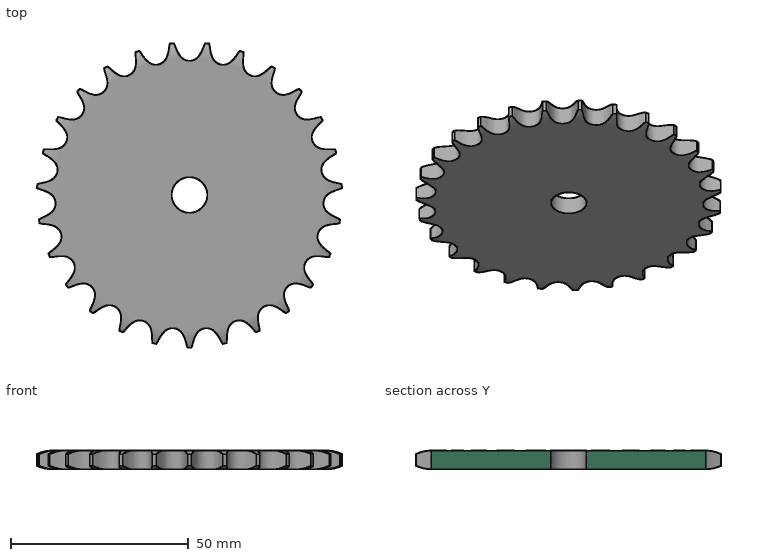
import cadquery as cq
import math

tooth_count = 27
pitch_diameter = 82.05
tip_diameter = 86.0
thickness = 5.3
bore_diameter = 10.0
bevel_start_radius = 38.6

pitch_radius = pitch_diameter / 2
tip_radius = tip_diameter / 2
half_tooth_angle = math.pi / tooth_count
chain_pitch = pitch_diameter * math.sin(half_tooth_angle)
roller_diameter = chain_pitch * 2 / 3
roller_clearance = 0.0765
bevel_radius_per_pitch = 1.063
bevel_radius = bevel_radius_per_pitch * chain_pitch

seat_half_angle = math.radians(55 - 60 / tooth_count)
working_angle = math.radians(18 - 56 / tooth_count)
topping_angle = math.radians(17 - 64 / tooth_count)
seat_oversize = 1.005
working_factor = 1.3025
working_offset = 0.8 * roller_diameter
topping_offset = 1.4 * roller_diameter
seat_radius = (seat_oversize * roller_diameter + roller_clearance) / 2
working_radius = working_factor * roller_diameter + roller_clearance / 2
straight_length = topping_offset * math.sin(topping_angle) - working_offset * math.sin(working_angle)
topping_radius = (
    topping_offset * math.cos(topping_angle)
    + working_offset * math.cos(working_angle)
    - working_radius
)


def on_circle(center, radius, angle):
    """Point on a circle, with the angle measured from -Y toward +X."""
    return (center[0] + radius * math.sin(angle), center[1] - radius * math.cos(angle))


def turned(point, angle):
    """Point turned counterclockwise about the origin."""
    x, y = point
    return (
        x * math.cos(angle) - y * math.sin(angle),
        x * math.sin(angle) + y * math.cos(angle),
    )


def gap_flank():
    """Points of the +X flank of a tooth gap centred on +Y, from the seat out to the tip.

    They are: seat end, working arc middle, working arc end, straight end,
    topping arc middle, tip corner.
    """
    roller_center = (0, pitch_radius)
    seat_end = on_circle(roller_center, seat_radius, seat_half_angle)

    flank_angle = seat_half_angle + working_angle
    working_center = on_circle(seat_end, working_radius, seat_half_angle + math.pi)
    working_middle = on_circle(working_center, working_radius, seat_half_angle + working_angle / 2)
    working_end = on_circle(working_center, working_radius, flank_angle)
    straight_end = on_circle(working_end, straight_length, flank_angle + math.pi / 2)

    topping_center = on_circle(straight_end, topping_radius, flank_angle)
    center_distance = math.hypot(*topping_center)
    corner_cosine = (tip_radius**2 - topping_radius**2 - center_distance**2) / (
        2 * topping_radius * center_distance
    )
    outward_angle = math.pi - math.atan2(topping_center[0], topping_center[1])
    start_angle = flank_angle - math.pi
    corner_angle = outward_angle + math.acos(corner_cosine) - 2 * math.pi
    topping_middle = on_circle(topping_center, topping_radius, (start_angle + corner_angle) / 2)
    tip_corner = on_circle(topping_center, topping_radius, corner_angle)

    return [seat_end, working_middle, working_end, straight_end, topping_middle, tip_corner]


def toothed_plate():
    """Plate with the full tooth outline and one tooth centred on -Y."""
    right_flank = gap_flank()
    left_flank = [(-x, y) for x, y in right_flank]
    root = (0, pitch_radius - seat_radius)
    first_corner = right_flank[-1]
    tooth_step = 2 * half_tooth_angle
    outline = cq.Workplane("XY", origin=(0, 0, -thickness / 2)).moveTo(*first_corner)

    for index in range(tooth_count):
        angle = tooth_step * index
        right_seat, right_working, right_straight, right_topping_start, right_topping, _ = [
            turned(point, angle) for point in right_flank
        ]
        left_seat, left_working, left_straight, left_topping_start, left_topping, left_corner = [
            turned(point, angle) for point in left_flank
        ]
        tooth_top = turned((0, tip_radius), angle + half_tooth_angle)
        next_corner = turned(first_corner, angle + tooth_step)
        outline = (
            outline.threePointArc(right_topping, right_topping_start)
            .lineTo(*right_straight)
            .threePointArc(right_working, right_seat)
            .threePointArc(turned(root, angle), left_seat)
            .threePointArc(left_working, left_straight)
            .lineTo(*left_topping_start)
            .threePointArc(left_topping, left_corner)
            .threePointArc(tooth_top, next_corner)
        )
    return outline.close().extrude(thickness)


def bevelled_blank():
    """Disc whose faces curve in toward the tooth tips, tangent to the flat faces."""
    half = thickness / 2
    bevel_run = tip_radius - bevel_start_radius

    def bevel_height(run):
        return half - bevel_radius + math.sqrt(bevel_radius**2 - run**2)

    tip_height = bevel_height(bevel_run)
    middle_radius = bevel_start_radius + bevel_run / 2
    middle_height = bevel_height(bevel_run / 2)
    return (
        cq.Workplane("XZ")
        .moveTo(0, -half)
        .lineTo(bevel_start_radius, -half)
        .threePointArc((middle_radius, -middle_height), (tip_radius, -tip_height))
        .lineTo(tip_radius, tip_height)
        .threePointArc((middle_radius, middle_height), (bevel_start_radius, half))
        .lineTo(0, half)
        .close()
        .revolve(360, (0, 0), (0, 1))
    )


bore = cq.Workplane("XY").circle(bore_diameter / 2).extrude(thickness, both=True)

result = toothed_plate().intersect(bevelled_blank()).cut(bore)